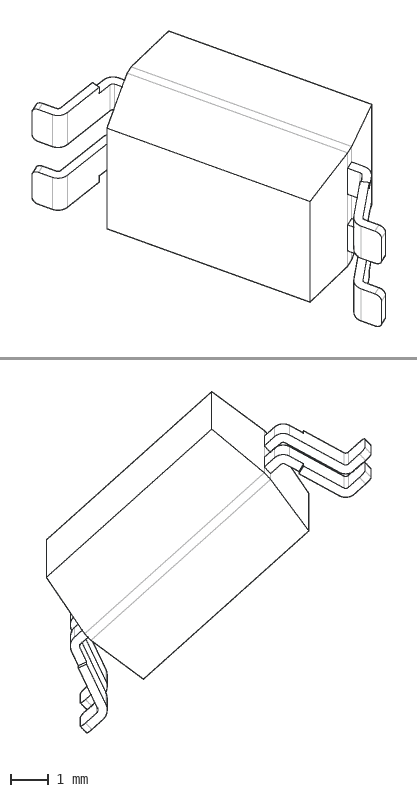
import cadquery as cq
import math

overall_length = 10.3

housing_length = 6.5
housing_width = 4.58
taper_depth = 1.777
taper_inset = 0.26

lead_thickness = 0.25
standoff = 0.1
lead_inner_z = 0.62
lead_width = 1.3
neck_width = 1.05
upper_bend_x = 3.69
lower_bend_x = 4.3
inner_bend_radius = 0.1
foot_corner_radius = 0.2
neck_length = 0.49

half_thickness = lead_thickness / 2
half_housing = housing_length / 2
half_overall = overall_length / 2
mounting_y = -(half_thickness + taper_depth + standoff)
leg_run = lower_bend_x - upper_bend_x
leg_drop = -half_thickness - mounting_y
leg_angle = math.atan2(leg_drop, leg_run)
outer_bend_radius = inner_bend_radius + lead_thickness


def make_housing():
    """Straight band with a tapered frustum on each side of it."""
    band = (
        cq.Workplane("XZ")
        .rect(housing_length, housing_width)
        .extrude(half_thickness, both=True)
    )
    taper = (
        cq.Workplane("XZ", origin=(0, -half_thickness, 0))
        .rect(housing_length, housing_width)
        .workplane(offset=taper_depth)
        .rect(housing_length - 2 * taper_inset, housing_width - 2 * taper_inset)
        .loft(ruled=True)
    )
    return band.union(taper).union(taper.mirror("XZ"))


def make_bent_strip():
    """Full-width gull-wing strip on the +X, +Z side, with its bends rounded."""
    corner_shift = lead_thickness * math.tan(leg_angle / 2)
    foot_top_y = mounting_y + lead_thickness
    upper_inner = (upper_bend_x, -half_thickness)
    upper_outer = (upper_bend_x + corner_shift, half_thickness)
    lower_outer = (lower_bend_x, mounting_y)
    lower_inner = (lower_bend_x + corner_shift, foot_top_y)
    strip = (
        cq.Workplane("XY", origin=(0, 0, lead_inner_z))
        .polyline([
            (half_housing, -half_thickness),
            upper_inner,
            lower_outer,
            (half_overall, mounting_y),
            (half_overall, foot_top_y),
            lower_inner,
            upper_outer,
            (half_housing, half_thickness),
        ])
        .close()
        .extrude(lead_width)
    )
    middle_z = lead_inner_z + lead_width / 2
    bends = [
        (upper_inner, inner_bend_radius),
        (lower_inner, inner_bend_radius),
        (upper_outer, outer_bend_radius),
        (lower_outer, outer_bend_radius),
    ]
    for (x, y), radius in bends:
        nearest_edge = cq.NearestToPointSelector((x, y, middle_z))
        strip = strip.edges("|Z").edges(nearest_edge).fillet(radius)
    return strip


def make_neck_cutter():
    """Block that narrows the strip above a line square to the sloping leg."""
    reach = housing_length
    step_x = upper_bend_x + neck_length * math.cos(leg_angle)
    step_y = -half_thickness - neck_length * math.sin(leg_angle)
    return (
        cq.Workplane("XY")
        .box(reach, reach, lead_width, centered=(False, True, False))
        .translate((-reach, 0, 0))
        .rotate((0, 0, 0), (0, 0, 1), -math.degrees(leg_angle))
        .translate((step_x, step_y, lead_inner_z + neck_width))
    )


def make_lead():
    """Lead on the +X, +Z side, from the housing to its rounded foot."""
    return (
        make_bent_strip()
        .cut(make_neck_cutter())
        .edges("|Y and >X")
        .fillet(foot_corner_radius)
    )


housing = make_housing()

corner_lead = make_lead()
leads = []
for side_lead in (corner_lead, corner_lead.mirror("YZ")):
    leads.append(side_lead.val())
    leads.append(side_lead.mirror("XY").val())

result = cq.Compound.makeCompound([housing.val(), *leads])